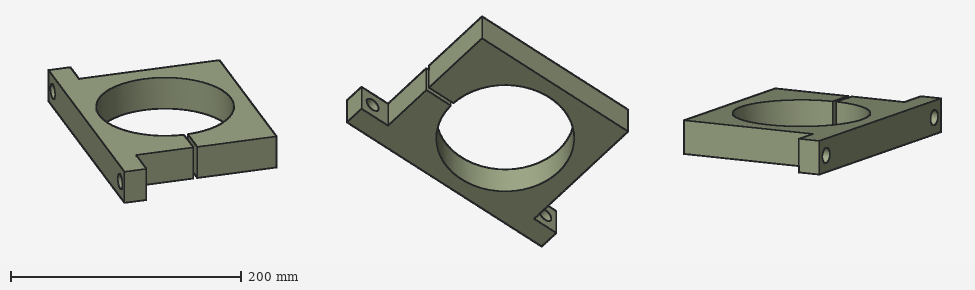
import cadquery as cq

length = 220.0
depth = 148.0
thickness = 30.0

foot_depth = 20.0
foot_left = 25.0
foot_right = 30.0
bolt_diameter = 13.5
bolt_inset = 12.5

bore_diameter = 120.0
bore_x = 102.5
bore_y = depth / 2
slit_width = 3.5

block_length = length - foot_left - foot_right


def box(x, y, size_x, size_y):
    """Full-thickness box with its front left corner at (x, y)."""
    return cq.Workplane("XY").box(size_x, size_y, thickness, centered=False).translate((x, y, 0))


def bolt_hole(x):
    """Hole through the foot along Y, at mid thickness."""
    return (
        cq.Workplane("XZ", origin=(x, 0, thickness / 2))
        .circle(bolt_diameter / 2)
        .extrude(-foot_depth)
    )


foot = box(0, 0, length, foot_depth)
block = box(foot_left, 0, block_length, depth)
body = foot.union(block)

bore = cq.Workplane("XY").center(bore_x, bore_y).circle(bore_diameter / 2).extrude(thickness)

slit = box(bore_x, bore_y - slit_width / 2, length - bore_x, slit_width)

result = body.cut(bore).cut(slit)
for hole_x in (bolt_inset, length - bolt_inset):
    result = result.cut(bolt_hole(hole_x))